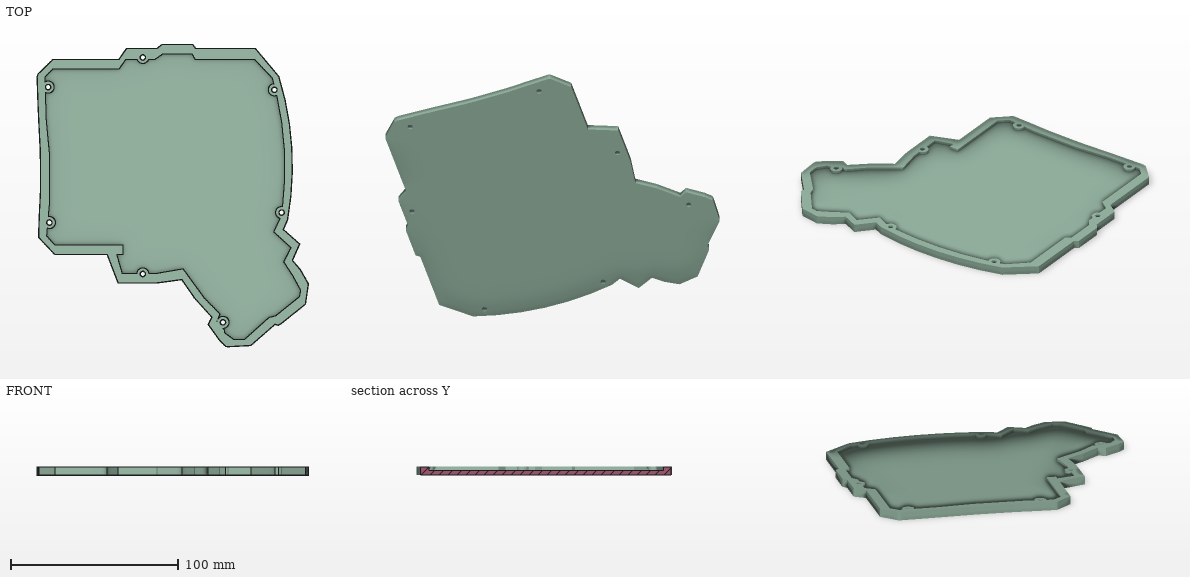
import cadquery as cq

thickness = 5.0
pocket_depth = 2.0
hole_diameter = 3.0
boss_diameter = 7.2

length_x = 162.5
length_y = 181.0

top_edge_y = 178.5
shoulder_edge_y = 172.0
pocket_shoulder_y = 166.1
pocket_raised_y = 175.1
left_bottom_edge_y = 55.2
pocket_left_bottom_y = 61.0
foot_edge_y = 38.2
pocket_foot_y = 44.0
pocket_tip_y = 4.5
notch_corner_x = 51.4

outer_bow = [(144.8, 161.8), (152.7, 115.8), (150.0, 76.0)]
pocket_bow = [(140.8, 160.9), (148.2, 114.9), (146.2, 78.5)]

outer_corners = [
    (130.6, top_edge_y),
    (95.0, top_edge_y),
    (93.2, length_y),
    (74.7, length_y),
    (71.8, top_edge_y),
    (53.5, top_edge_y),
    (49.0, shoulder_edge_y),
    (9.5, shoulder_edge_y),
    (0.5, 163.2),
    (0.0, 161.2),
    (0.5, 145.5),
    (0.9, 137.2),
    (1.6, 122.5),
    (1.8, 119.5),
    (2.0, 111.1),
    (2.0, 92.6),
    (1.6, 84.5),
    (1.5, 82.0),
    (0.9, 66.5),
    (1.0, 65.3),
    (10.7, left_bottom_edge_y),
    (42.0, left_bottom_edge_y),
    (48.5, foot_edge_y),
    (71.8, foot_edge_y),
    (86.7, 40.2),
    (94.3, 29.1),
    (104.5, 17.7),
    (102.5, 13.4),
    (109.3, 3.8),
    (112.9, 0.2),
    (114.4, 0.0),
    (128.0, 0.7),
    (142.4, 13.4),
    (144.4, 12.8),
    (146.2, 14.0),
    (160.7, 25.5),
    (length_x, 37.6),
    (157.8, 46.0),
    (152.9, 51.7),
    (157.2, 61.5),
    (147.5, 70.2),
]

pocket_corners = [
    (130.1, shoulder_edge_y),
    (94.6, shoulder_edge_y),
    (92.8, pocket_raised_y),
    (75.0, pocket_raised_y),
    (70.7, shoulder_edge_y),
    (53.2, shoulder_edge_y),
    (49.0, pocket_shoulder_y),
    (9.4, pocket_shoulder_y),
    (4.9, 161.5),
    (5.5, 137.2),
    (7.5, 115.8),
    (7.5, 85.4),
    (5.8, 66.4),
    (10.7, pocket_left_bottom_y),
    (notch_corner_x, pocket_left_bottom_y),
    (notch_corner_x, left_bottom_edge_y),
    (47.8, left_bottom_edge_y),
    (51.0, pocket_foot_y),
    (71.8, pocket_foot_y),
    (87.4, 46.7),
    (100.0, 29.3),
    (109.5, 19.7),
    (107.7, 15.2),
    (112.2, 10.1),
    (112.2, 8.5),
    (117.6, pocket_tip_y),
    (124.3, pocket_tip_y),
    (138.8, 17.5),
    (143.0, 18.6),
    (157.0, 30.0),
    (157.8, 33.8),
    (153.0, 42.5),
    (147.6, 50.8),
    (152.0, 59.3),
    (141.7, 68.8),
]

screw_points = [
    (63.3, 173.2),
    (6.7, 155.5),
    (142.0, 153.8),
    (146.4, 80.3),
    (111.3, 14.7),
    (7.5, 74.4),
    (63.3, 43.6),
]


def bowed_prism(corners, bow, base_z, height):
    """Extrude an outline of straight edges closed by one bowed edge."""
    upper_end, middle, lower_end = bow
    outline = cq.Workplane("XY").workplane(offset=base_z).moveTo(*upper_end)
    for corner in corners:
        outline = outline.lineTo(*corner)
    outline = outline.lineTo(*lower_end).threePointArc(middle, upper_end)
    return outline.close().extrude(height)


def screw_cylinders(diameter, base_z, height):
    """Upright cylinders of one diameter at every screw point."""
    plane = cq.Workplane("XY").workplane(offset=base_z)
    return plane.pushPoints(screw_points).circle(diameter / 2).extrude(height)


floor_thickness = thickness - pocket_depth

plate = bowed_prism(outer_corners, outer_bow, 0, thickness)

pocket = bowed_prism(pocket_corners, pocket_bow, floor_thickness, pocket_depth)
bosses = screw_cylinders(boss_diameter, floor_thickness, pocket_depth)

holes = screw_cylinders(hole_diameter, 0, thickness)

result = plate.cut(pocket.cut(bosses)).cut(holes)